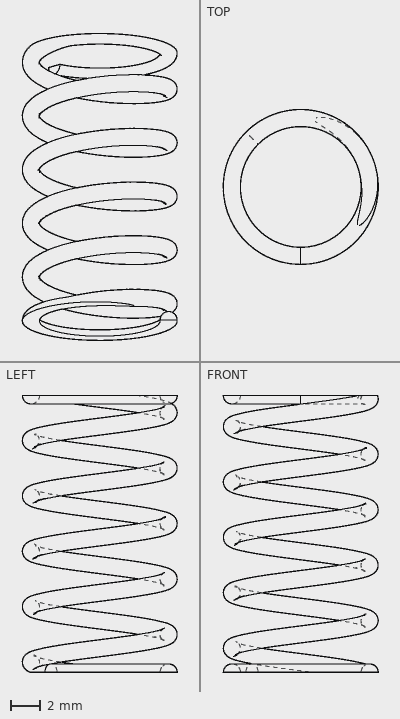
import cadquery as cq


outer_diameter = 10.67
wire_diameter = 1.19
free_length = 19.05
active_turns = 5
helix_start_angle = 22.5
ring_sweep_angle = 247.5
seam_angle = 90

wire_radius = wire_diameter / 2
coil_radius = outer_diameter / 2 - wire_radius
pitch = free_length / active_turns
axis_start = (0, 0, 0)
axis_end = (0, 0, 1)
section_axis_start = (0, 0)
section_axis_end = (0, 1)


def active_coils():
    """Right-handed round-wire helix, ground flat at both ends."""
    path = cq.Wire.makeHelix(pitch, free_length, coil_radius)
    section = (
        cq.Workplane("XZ")
        .center(coil_radius, 0)
        .transformed(rotate=(0, 0, seam_angle))
        .circle(wire_radius)
    )
    coils = section.sweep(path, isFrenet=True)
    ground_envelope = cq.Workplane("XY").circle(outer_diameter).extrude(free_length)
    return coils.intersect(ground_envelope).rotate(axis_start, axis_end, helix_start_angle)


def end_ring(ground_height, wire_side, start_angle):
    """Flat end coil ground to half its wire; wire_side is +1 or -1 for wire above or below the cut."""
    section = (
        cq.Workplane("XZ")
        .moveTo(coil_radius - wire_radius, ground_height)
        .threePointArc(
            (coil_radius, ground_height + wire_side * wire_radius),
            (coil_radius + wire_radius, ground_height),
        )
        .close()
    )
    ring = section.revolve(ring_sweep_angle, section_axis_start, section_axis_end)
    return ring.rotate(axis_start, axis_end, start_angle)


top_ring = end_ring(free_length, -1, helix_start_angle)
bottom_ring = end_ring(0, 1, helix_start_angle - ring_sweep_angle)

result = active_coils().union(top_ring).union(bottom_ring)